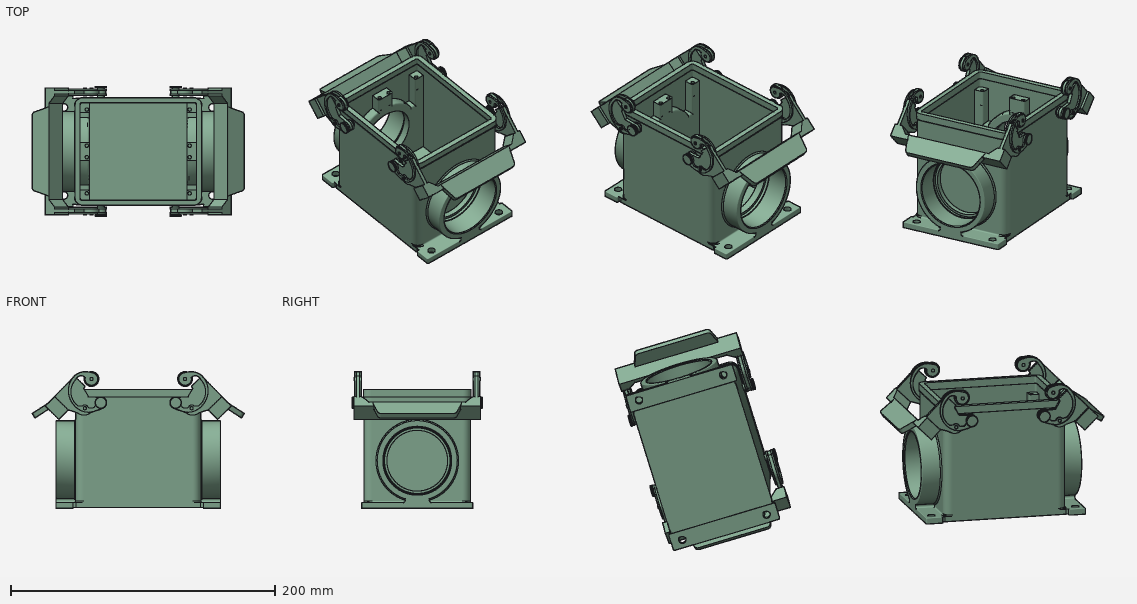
import cadquery as cq
import math

WALL_HALF_X = 47.4
WALL_HALF_Y = 40.4
RIM_HALF_X = 48.0
RIM_HALF_Y = 40.8
MOUTH_HALF_X = 43.9
MOUTH_HALF_Y = 36.8
CAVITY_HALF_X = 44.2
CAVITY_HALF_Y = 37.1
HOUSING_BOTTOM = 0.5
RIM_BOTTOM = 84.3
HOUSING_TOP = 90.0
CORNER_RADIUS = 6.0
CAVITY_CORNER_RADIUS = 1.5
BASE_TOP = 4.5
WALL_FOOT_FILLET = 1.0

FOOT_HALF_X = 62.3
FOOT_INNER_X = 49.2
FOOT_HALF_Y = 42.0
FOOT_FILLET = 1.0
FOOT_TOP_FILLET = 0.4
PLINTH_HALF_X = 47.3
PLINTH_FILLET = 0.7
BASE_HALF_X = 61.3
BASE_HALF_Y = 40.1
FOOT_HOLE_X = 56.2
FOOT_HOLE_Y = 33.3
FOOT_HOLE_DIAMETER = 5.5

HUB_Z = 36.0
HUB_RADIUS = 30.3
HUB_EDGE_FILLET = 0.5
HUB_ROOT_CHAMFER = 1.0
BORE_RADIUS = 25.4
BORE_CHAMFER = 0.7
BORE_END_X = 45.0
SEAT_RADIUS = 24.8
SEAT_END_X = 42.7
THROAT_RADIUS = 23.0
MEMBRANE_X = 38.5
WEB_RADIUS = 1.5

BOSS_FACE_X = 36.9
BOSS_TOP = 77.5
CORNER_BOSS_Y = 29.3
CENTRE_BOSS_HALF_Y = 6.9
BOSS_EDGE_FILLET = 1.0
BOSS_HOLE_X = 38.9
BOSS_HOLE_Y = (31.7, 4.35)
BOSS_HOLE_DIAMETER = 2.6
BOSS_HOLE_DEPTH = 12.0
LEDGE_TOP = 51.0
LEDGE_RADIUS = 29.6
LEDGE_FILLET = 1.4

LEVER_ANGLE = math.radians(45.5)
GRIP_CORNER = (-70.4, 77.4)
GRIP_LENGTH = 10.1
GRIP_DEPTH = 14.6
GRIP_MIDDLE_LENGTH = 4.0
GRIP_HALF_Y = 48.0
GRIP_ARM_Y = 42.0
GRIP_MIDDLE_Y = 36.4
LIP_ROOT = (-68.2, 79.6)
LIP_TIP = (-80.35, 71.7)
LIP_THICKNESS = 4.1
LIP_ROOT_HALF_Y = 33.6
LIP_TIP_HALF_Y = 29.3
LIP_CORNER_FILLET = 3.0
CORE_Y = (43.6, 46.1)
CLIP_Y = (42.2, 47.4)
PIVOT = (-28.3, 79.9)
CORE_EYE_RADIUS = 3.9
CLIP_EYE_RADIUS = 4.2
PIVOT_PIN_RADIUS = 2.6
PIVOT_HEAD_RADIUS = 4.4
PIVOT_PIN_ROOT_Y = 39.0
PIVOT_HEAD_Y = (48.2, 49.25)
PIVOT_HEAD_CHAMFER = 0.3
HOOK = (-35.4, 97.8)
HOOK_EYE_RADIUS = 4.75
ROLLER_RADIUS = 5.64
RIVET = (-40.4, 75.7)
RIVET_RADIUS = 1.2
RIVET_Y = (42.1, 47.9)
CLIP_TOP = (-40.1, 103.44)


def block(x0, x1, y0, y1, z0, z1):
    """Box between opposite corners."""
    return cq.Workplane("XY").box(x1 - x0, y1 - y0, z1 - z0, centered=False).translate((x0, y0, z0))


def centred_block(half_x, half_y, z0, z1):
    return block(-half_x, half_x, -half_y, half_y, z0, z1)


def disc_along_x(radius, x0, x1):
    """Cylinder on the cable entry axis."""
    return cq.Workplane("YZ", origin=(x0, 0, HUB_Z)).circle(radius).extrude(x1 - x0)


def disc_along_y(centre, radius, y0, y1):
    """Cylinder about an X, Z point, parallel to Y."""
    x, z = centre
    return cq.Workplane("XZ", origin=(x, y0, z)).circle(radius).extrude(y0 - y1)


def both_sides(shape, plane):
    return shape.union(shape.mirror(plane))


def make_shell():
    wall = centred_block(WALL_HALF_X, WALL_HALF_Y, HOUSING_BOTTOM, RIM_BOTTOM)
    rim = centred_block(RIM_HALF_X, RIM_HALF_Y, RIM_BOTTOM, HOUSING_TOP)
    return wall.edges("|Z").fillet(CORNER_RADIUS).union(rim.edges("|Z").fillet(CORNER_RADIUS))


def make_base():
    base = centred_block(BASE_HALF_X, BASE_HALF_Y, HOUSING_BOTTOM, BASE_TOP)
    foot = block(-FOOT_HALF_X, -FOOT_INNER_X, -FOOT_HALF_Y, FOOT_HALF_Y, 0, BASE_TOP)
    foot = foot.edges("|Z").fillet(FOOT_FILLET)
    foot = foot.faces(">Z").edges("not >X").fillet(FOOT_TOP_FILLET)
    plinth = centred_block(PLINTH_HALF_X, WALL_HALF_Y, HOUSING_BOTTOM, BASE_TOP)
    plinth = plinth.edges("|Z").fillet(PLINTH_FILLET)
    return base.union(plinth).union(both_sides(foot, "YZ"))


def make_wall_foot_fillet():
    """Narrow collar with a concave rounding where the end walls meet the base."""
    collar = centred_block(
        WALL_HALF_X + WALL_FOOT_FILLET, WALL_HALF_Y, BASE_TOP, BASE_TOP + WALL_FOOT_FILLET
    )
    rounding_z = BASE_TOP + WALL_FOOT_FILLET
    groove = (
        cq.Workplane("XZ", origin=(-WALL_HALF_X - WALL_FOOT_FILLET, WALL_HALF_Y, rounding_z))
        .circle(WALL_FOOT_FILLET)
        .extrude(2 * WALL_HALF_Y)
    )
    collar = collar.edges("|Z").fillet(CORNER_RADIUS)
    return collar.cut(both_sides(groove, "YZ"))


def make_hub():
    """Cable entry collar on the -X side with the web joining it to the foot."""
    hub = disc_along_x(HUB_RADIUS, -FOOT_HALF_X, -CAVITY_HALF_X)
    hub = hub.faces("<X").edges().fillet(HUB_EDGE_FILLET)
    root = disc_along_x(HUB_RADIUS + HUB_ROOT_CHAMFER, -WALL_HALF_X - HUB_ROOT_CHAMFER, -CAVITY_HALF_X)
    root = root.faces("<X").edges().chamfer(HUB_ROOT_CHAMFER)
    web_z = BASE_TOP + WEB_RADIUS
    web_y = math.sqrt((HUB_RADIUS + WEB_RADIUS) ** 2 - (HUB_Z - web_z) ** 2)
    web = block(-FOOT_HALF_X, -CAVITY_HALF_X, -web_y, web_y, HOUSING_BOTTOM, web_z + WEB_RADIUS)
    for side in (-1, 1):
        rounding = cq.Workplane("YZ", origin=(-FOOT_HALF_X, side * web_y, web_z)).circle(WEB_RADIUS)
        web = web.cut(rounding.extrude(FOOT_HALF_X - WALL_HALF_X))
    return hub.union(root).union(web)


def make_cavity():
    cavity = centred_block(CAVITY_HALF_X, CAVITY_HALF_Y, BASE_TOP, RIM_BOTTOM)
    cavity = cavity.edges("|Z").fillet(CAVITY_CORNER_RADIUS)
    mouth = centred_block(MOUTH_HALF_X, MOUTH_HALF_Y, RIM_BOTTOM, HOUSING_TOP)
    return cavity.union(mouth.edges("|Z").fillet(CAVITY_CORNER_RADIUS))


def make_bosses():
    """Thickened lower end wall and screw bosses on the -X side of the cavity."""
    ledge = block(-CAVITY_HALF_X, -BOSS_FACE_X, -CAVITY_HALF_Y, CAVITY_HALF_Y, BASE_TOP, LEDGE_TOP)
    ledge = ledge.union(disc_along_x(LEDGE_RADIUS, -CAVITY_HALF_X, -BOSS_FACE_X))
    ledge = ledge.faces(">X").edges("not <Z").edges("not |Z").fillet(LEDGE_FILLET)
    corner = block(-CAVITY_HALF_X, -BOSS_FACE_X, CORNER_BOSS_Y, CAVITY_HALF_Y, BASE_TOP, BOSS_TOP)
    corner = corner.edges("|Z and >X and <Y").fillet(BOSS_EDGE_FILLET)
    centre = block(
        -CAVITY_HALF_X, -BOSS_FACE_X, -CENTRE_BOSS_HALF_Y, CENTRE_BOSS_HALF_Y, HUB_Z, BOSS_TOP
    )
    centre = centre.edges("|Z and >X").fillet(BOSS_EDGE_FILLET)
    bosses = ledge.union(both_sides(corner, "XZ")).union(centre)
    holes = [(-BOSS_HOLE_X, side * y) for y in BOSS_HOLE_Y for side in (-1, 1)]
    return bosses.cut(
        cq.Workplane("XY", origin=(0, 0, BOSS_TOP - BOSS_HOLE_DEPTH))
        .pushPoints(holes)
        .circle(BOSS_HOLE_DIAMETER / 2)
        .extrude(BOSS_HOLE_DEPTH)
    )


def make_bore(throat_end_x):
    """Stepped bore of the -X cable entry, running inward to throat_end_x."""
    bore = disc_along_x(BORE_RADIUS, -FOOT_HALF_X, -BORE_END_X)
    mouth = cq.Workplane(
        cq.Solid.makeCone(
            BORE_RADIUS + BORE_CHAMFER,
            BORE_RADIUS,
            BORE_CHAMFER,
            cq.Vector(-FOOT_HALF_X, 0, HUB_Z),
            cq.Vector(1, 0, 0),
        )
    )
    seat = disc_along_x(SEAT_RADIUS, -BORE_END_X, -SEAT_END_X)
    throat = disc_along_x(THROAT_RADIUS, -SEAT_END_X, throat_end_x)
    return bore.union(mouth).union(seat).union(throat)


def make_housing():
    housing = make_shell().union(make_base()).union(make_wall_foot_fillet())
    housing = housing.union(both_sides(make_hub(), "YZ")).cut(make_cavity())
    housing = housing.union(both_sides(make_bosses(), "YZ"))
    housing = housing.cut(make_bore(-MEMBRANE_X))
    housing = housing.cut(make_bore(-BOSS_FACE_X).mirror("YZ"))
    foot_holes = (
        cq.Workplane("XY")
        .rect(2 * FOOT_HOLE_X, 2 * FOOT_HOLE_Y, forConstruction=True)
        .vertices()
        .circle(FOOT_HOLE_DIAMETER / 2)
        .extrude(BASE_TOP)
    )
    return housing.cut(foot_holes)


def make_grip():
    """Bar joining the two arms; its middle is set back from the housing."""
    along = (math.cos(LEVER_ANGLE), 0, math.sin(LEVER_ANGLE))
    across = (math.sin(LEVER_ANGLE), 0, -math.cos(LEVER_ANGLE))
    corner = (GRIP_CORNER[0], 0, GRIP_CORNER[1])
    half = [
        (0, GRIP_HALF_Y),
        (GRIP_LENGTH, GRIP_HALF_Y),
        (GRIP_LENGTH, GRIP_ARM_Y),
        (GRIP_MIDDLE_LENGTH, GRIP_MIDDLE_Y),
    ]
    outline = half + [(u, -y) for u, y in reversed(half)]
    return cq.Workplane(cq.Plane(corner, along, across)).polyline(outline).close().extrude(GRIP_DEPTH)


def make_lip():
    """Tapered finger lip projecting from the grip bar."""
    run = LIP_ROOT[0] - LIP_TIP[0]
    drop = LIP_ROOT[1] - LIP_TIP[1]
    length = math.hypot(run, drop)
    outward = (-run / length, 0, -drop / length)
    below = (drop / length, 0, -run / length)
    half = [(0, LIP_ROOT_HALF_Y), (length, LIP_TIP_HALF_Y)]
    outline = half + [(u, -y) for u, y in reversed(half)]
    plane = cq.Plane((LIP_ROOT[0], 0, LIP_ROOT[1]), outward, below)
    lip = cq.Workplane(plane).polyline(outline).close().extrude(LIP_THICKNESS)
    across_plate = cq.selectors.ParallelDirSelector(cq.Vector(below))
    return lip.edges(across_plate).edges("<X").fillet(LIP_CORNER_FILLET)


def make_core():
    """Middle plate of one arm, from the grip bar to the pivot."""
    y0, y1 = CORE_Y
    grip_x = GRIP_CORNER[0] + GRIP_LENGTH * math.cos(LEVER_ANGLE)
    grip_z = GRIP_CORNER[1] + GRIP_LENGTH * math.sin(LEVER_ANGLE)
    lower_x = grip_x + GRIP_DEPTH * math.sin(LEVER_ANGLE)
    lower_z = grip_z - GRIP_DEPTH * math.cos(LEVER_ANGLE)
    core = (
        cq.Workplane("XZ", origin=(0, y0, 0))
        .moveTo(grip_x, grip_z)
        .lineTo(-48.2, 100.0)
        .lineTo(-40.1, 92.3)
        .lineTo(-41.2, 90.7)
        .lineTo(-37.6, 84.4)
        .lineTo(-35.7, 84.2)
        .lineTo(PIVOT[0], PIVOT[1] + CORE_EYE_RADIUS)
        .lineTo(-26.9, 76.2)
        .lineTo(-36.0, 72.3)
        .threePointArc((-40.5, 70.5), (-46.0, 72.2))
        .lineTo(lower_x, lower_z)
        .close()
        .extrude(y0 - y1)
    )
    return core.union(disc_along_y(PIVOT, CORE_EYE_RADIUS, y0, y1))


def make_clip(y0, y1):
    """C-shaped spring clip between y0 and y1, hooked at the top and held by the pivot."""
    clip = (
        cq.Workplane("XZ", origin=(0, y0, 0))
        .moveTo(-35.1, 102.4)
        .threePointArc(CLIP_TOP, (-50.2, 98.0))
        .threePointArc((-52.8, 88.1), (-48.4, 77.7))
        .threePointArc((-43.3, 73.9), (-37.6, 72.6))
        .threePointArc((-32.4, 73.6), (-26.2, 75.9))
        .lineTo(-31.8, 78.2)
        .lineTo(-34.1, 75.8)
        .lineTo(-37.3, 75.8)
        .lineTo(-38.5, 77.3)
        .threePointArc((RIVET[0], 78.2), (-42.3, 77.3))
        .lineTo(-45.5, 77.4)
        .threePointArc((-50.9, 87.0), (-47.2, 97.5))
        .threePointArc((-43.3, 100.2), (-40.1, 98.9))
        .lineTo(HOOK[0], HOOK[1])
        .close()
        .extrude(y0 - y1)
    )
    clip = clip.union(disc_along_y(HOOK, HOOK_EYE_RADIUS, y0, y1))
    return clip.union(disc_along_y(PIVOT, CLIP_EYE_RADIUS, y0, y1))


def make_arm():
    """One complete arm on the +Y side, with its roller, rivets and pivot pin."""
    arm = make_core().union(make_clip(CLIP_Y[0], CORE_Y[0])).union(make_clip(CORE_Y[1], CLIP_Y[1]))
    arm = arm.union(disc_along_y(HOOK, ROLLER_RADIUS, CORE_Y[0], CORE_Y[1]))
    for centre in (HOOK, RIVET):
        arm = arm.union(disc_along_y(centre, RIVET_RADIUS, RIVET_Y[0], RIVET_Y[1]))
    head = disc_along_y(PIVOT, PIVOT_HEAD_RADIUS, PIVOT_HEAD_Y[0], PIVOT_HEAD_Y[1])
    head = head.edges().chamfer(PIVOT_HEAD_CHAMFER)
    pin = disc_along_y(PIVOT, PIVOT_PIN_RADIUS, PIVOT_PIN_ROOT_Y, PIVOT_HEAD_Y[0])
    return arm.union(pin).union(head)


def make_lever():
    return make_grip().union(make_lip()).union(both_sides(make_arm(), "XZ"))


result = make_housing().union(both_sides(make_lever(), "YZ"))